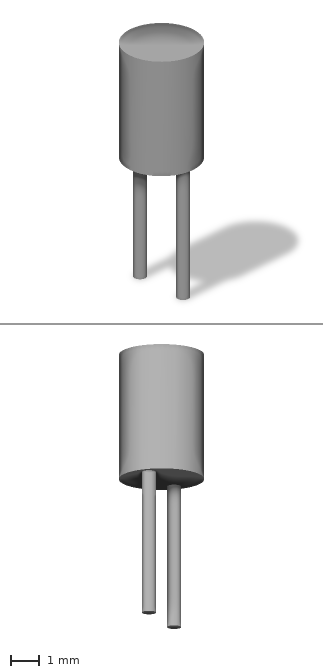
import cadquery as cq

total_height = 9.6
housing_diameter = 3.0
housing_height = 4.5

lead_diameter = 0.5
lead_spacing = 2.2
lead_length = total_height - housing_height


def make_housing():
    """Plain cylinder standing on the XY plane."""
    return cq.Workplane("XY").circle(housing_diameter / 2).extrude(housing_height)


def make_lead(x):
    """Round lead hanging from the underside of the housing at the given X."""
    return cq.Workplane("XY").center(x, 0).circle(lead_diameter / 2).extrude(-lead_length)


housing = make_housing()
leads = [make_lead(side * lead_spacing / 2) for side in (-1, 1)]

result = cq.Compound.makeCompound([housing.val(), *[lead.val() for lead in leads]])